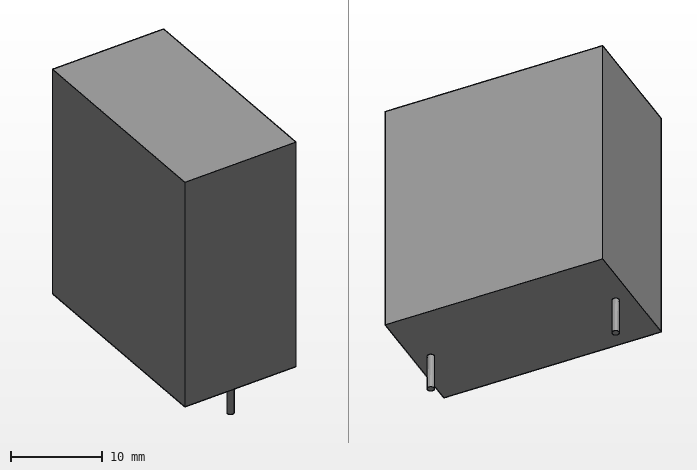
import cadquery as cq

body_length = 26.5
body_width = 14.5
total_height = 34.0

pin_length = 4.5
pin_diameter = 0.8
pin_pitch = 22.5

body_height = total_height - pin_length

body = cq.Workplane("XY").box(body_length, body_width, body_height, centered=(True, True, False))

pins = (
    cq.Workplane("XY")
    .pushPoints([(-pin_pitch / 2, 0), (pin_pitch / 2, 0)])
    .circle(pin_diameter / 2)
    .extrude(-pin_length)
)

result = body.union(pins)